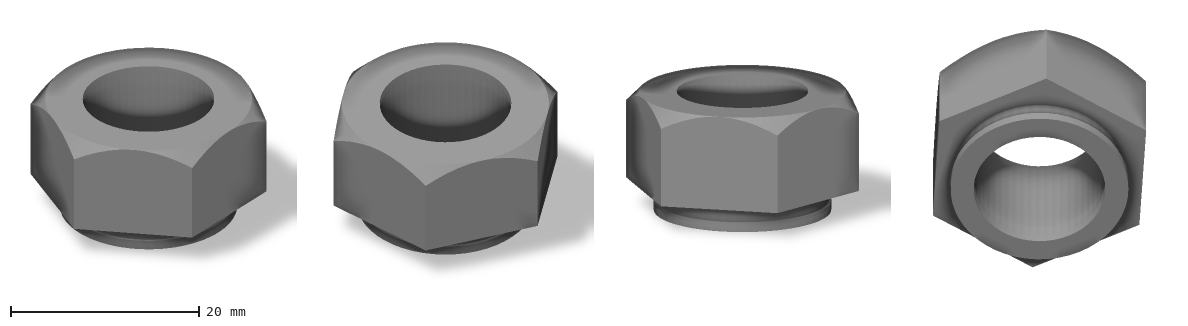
import cadquery as cq
import math

across_corners = 25.4
total_height = 13.0
flange_height = 1.05
neck_height = 1.75
flange_diameter = 18.9
neck_diameter = 18.3
bore_diameter = 14.0

across_flats = across_corners * math.cos(math.radians(30))
hex_base = flange_height + neck_height
hex_height = total_height - hex_base
corner_overhang = (across_corners - across_flats) / 2


def cylinder(diameter, height, base=0.0):
    """Upright cylinder on the Z axis, starting at the given height."""
    return cq.Workplane("XY").workplane(offset=base).circle(diameter / 2).extrude(height)


def chamfered_hexagon():
    """Hexagon with corners on the Y axis, its top corners cut by a 45 degree cone."""
    hexagon = (
        cq.Workplane("XY")
        .workplane(offset=hex_base)
        .polygon(6, across_corners)
        .extrude(hex_height)
        .rotate((0, 0, 0), (0, 0, 1), 90)
    )
    envelope = cylinder(across_corners, hex_height, hex_base).faces(">Z").chamfer(corner_overhang)
    return hexagon.intersect(envelope)


flange = cylinder(flange_diameter, flange_height)
neck = cylinder(neck_diameter, neck_height, flange_height)
bore = cylinder(bore_diameter, total_height)

result = chamfered_hexagon().union(neck).union(flange).cut(bore)